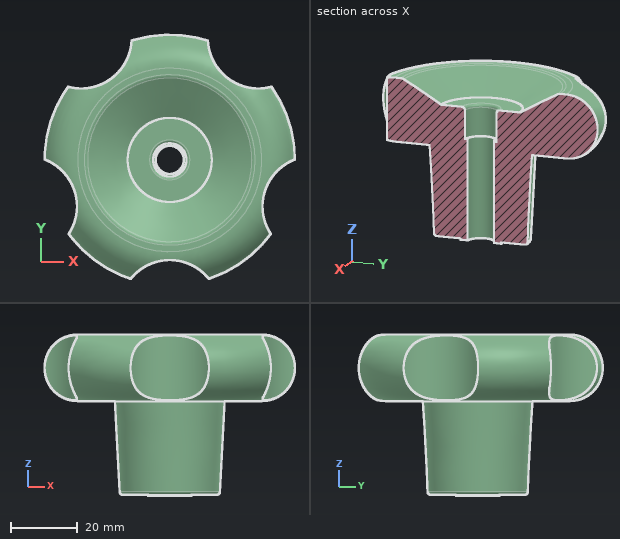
import cadquery as cq
import math

head_diameter = 75.0
head_height = 20.0
rim_radius = head_height / 2
head_radius = head_diameter / 2
flat_radius = head_radius - rim_radius

scallop_count = 5
scallop_radius = 15.0
scallop_centre_radius = 45.0
first_scallop_angle = -90.0

dish_floor_radius = 12.6
dish_depth = 7.0
dish_top_radius = 25.0
dish_edge_fillet = 2.0

hub_height = 28.0
hub_end_radius = 15.0
hub_draft_angle = 3.0
hub_top_radius = hub_end_radius + hub_height * math.tan(math.radians(hub_draft_angle))
hub_end_fillet = 1.0

insert_diameter = 13.0
insert_projection = 0.4

bore_diameter = 8.38
mouth_diameter = 10.0
mouth_fillet = 1.0
mouth_depth = 10.0
insert_tip_slope = 20.0
insert_tip_width = (mouth_diameter - bore_diameter) / 2
insert_tip_height = insert_tip_width * math.tan(math.radians(insert_tip_slope))

head_top = hub_height + head_height
dish_floor = head_top - dish_depth


def make_head():
    """Disc with a half-round rim, resting on the hub."""
    return (
        cq.Workplane("XZ")
        .moveTo(0, hub_height)
        .lineTo(flat_radius, hub_height)
        .threePointArc((head_radius, hub_height + rim_radius), (flat_radius, head_top))
        .lineTo(0, head_top)
        .close()
        .revolve(360, (0, 0, 0), (0, 1, 0))
    )


def make_dish():
    """Cone frustum removed from the top of the head."""
    return (
        cq.Workplane("XZ")
        .moveTo(0, dish_floor)
        .lineTo(dish_floor_radius, dish_floor)
        .lineTo(dish_top_radius, head_top)
        .lineTo(0, head_top)
        .close()
        .revolve(360, (0, 0, 0), (0, 1, 0))
    )


def make_scallops():
    """Vertical cylinders that cut the finger grips."""
    return (
        cq.Workplane("XY", origin=(0, 0, hub_height))
        .polarArray(scallop_centre_radius, first_scallop_angle, 360, scallop_count)
        .circle(scallop_radius)
        .extrude(head_height)
    )


def make_hub():
    """Tapered hub with a rounded lower edge."""
    hub = (
        cq.Workplane("XZ")
        .lineTo(hub_end_radius, 0)
        .lineTo(hub_top_radius, hub_height)
        .lineTo(0, hub_height)
        .close()
        .revolve(360, (0, 0, 0), (0, 1, 0))
    )
    return hub.faces("<Z").edges().fillet(hub_end_fillet)


def make_insert_end():
    """Short disc where the insert projects below the hub."""
    return (
        cq.Workplane("XY", origin=(0, 0, -insert_projection))
        .circle(insert_diameter / 2)
        .extrude(insert_projection)
    )


def make_hole():
    """Through bore with a flared mouth; a conical insert tip rises at the mouth's lower end."""
    bore_radius = bore_diameter / 2
    mouth_radius = mouth_diameter / 2
    flare_radius = mouth_radius + mouth_fillet
    mouth_bottom = dish_floor - mouth_depth
    return (
        cq.Workplane("XZ")
        .moveTo(0, -insert_projection)
        .lineTo(bore_radius, -insert_projection)
        .lineTo(bore_radius, mouth_bottom + insert_tip_height)
        .lineTo(mouth_radius, mouth_bottom)
        .lineTo(mouth_radius, dish_floor - mouth_fillet)
        .radiusArc((flare_radius, dish_floor), mouth_fillet)
        .lineTo(0, dish_floor)
        .close()
        .revolve(360, (0, 0, 0), (0, 1, 0))
    )


dish_edge = cq.selectors.RadiusNthSelector(0)
dished_head = make_head().cut(make_dish()).faces(">Z").edges(dish_edge).fillet(dish_edge_fillet)

knob = dished_head.union(make_hub()).cut(make_scallops()).union(make_insert_end())
result = knob.cut(make_hole())